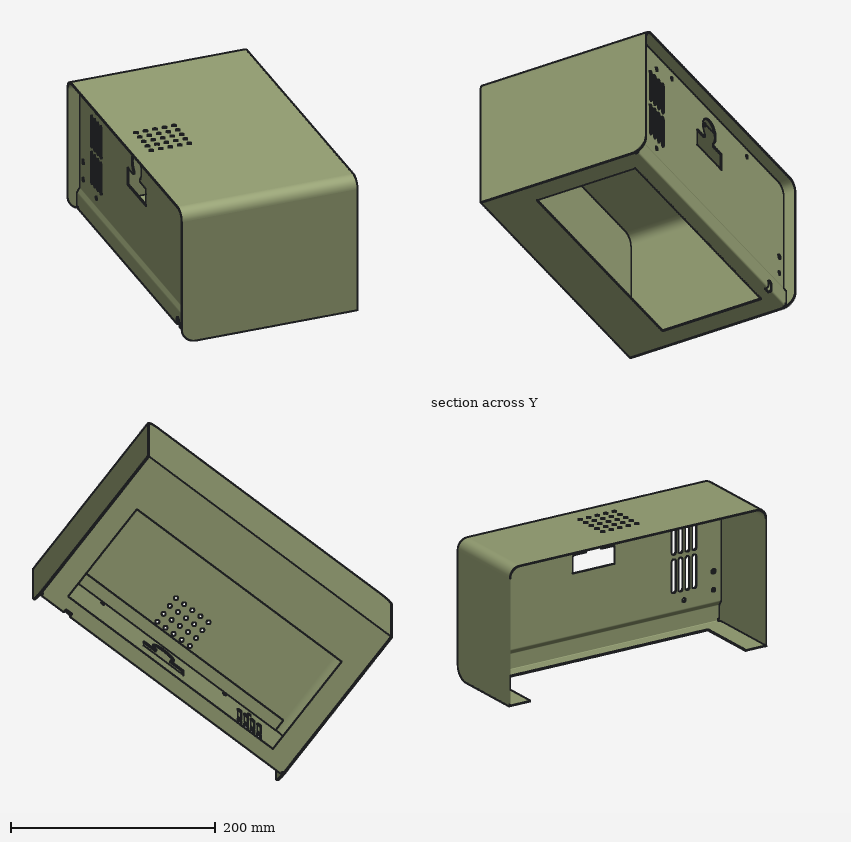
import cadquery as cq
import math

width = 300.5
depth = 185.0
height = 145.5
sheet = 1.5

cover_inner_radius = 10.0
cover_front_radius = 15.0
grille_count = 5
grille_pitch = 10.0
grille_hole = 4.0
grille_centre_y = 40.0

panel_y = 12.5
skirt_y = 9.5
step_top_z = 23.2
step_bottom_z = 18.2
bend_inner_radius = 0.5
step_inner_radius = 1.5
relief_width = 1.5
relief_height = 3.0
chassis_corner_radius = 11.0
top_flange_depth = 14.0
floor_opening_x = 126.0
floor_opening_front_y = 25.0
floor_opening_rear_y = 135.5

top_hole_x = 75.0
top_hole_z = 135.0
side_hole_x = 140.0
upper_side_hole_z = 55.5
lower_side_hole_z = 36.0
small_hole = 4.0
large_hole = 5.0

vent_x = -105.5
vent_z = 80.0
vent_columns = 4
vent_pitch_x = 8.0
vent_pitch_z = 40.0
vent_width = 5.0
vent_length = 35.5
vent_hole_offset_z = 47.5

window_width = 49.0
window_bottom_z = 87.5
window_top_z = 106.5
window_corner_radius = 1.5
neck_width = 17.5
keyhole_radius = 13.0
keyhole_z = 119.0

notch_x = 115.8
notch_width = 7.5
notch_centre_z = 6.5
notch_depth_y = 4.0

inner_width = width - 2 * sheet
half_inner = inner_width / 2
inner_height = height - sheet
panel_cut_depth = depth / 2
cover_outer_radius = cover_inner_radius + sheet
bend_outer_radius = bend_inner_radius + sheet
step_outer_radius = step_inner_radius + sheet
step_angle = math.atan2(panel_y - skirt_y, step_top_z - step_bottom_z)
step_shift_z = sheet * math.tan(step_angle / 2)


def box_between(x0, x1, y0, y1, z0, z1):
    """A box given by its limits along each axis."""
    return cq.Workplane("XY").box(x1 - x0, y1 - y0, z1 - z0, centered=False).translate((x0, y0, z0))


def rounded_top_block(block_width, block_height, radius):
    """A block over the full depth whose two upper long edges are rounded."""
    block = box_between(-block_width / 2, block_width / 2, 0, depth, 0, block_height)
    return block.edges("|Y and >Z").fillet(radius)


def front_plane():
    """A sketch plane on the front end of the case: local x is X and local y is Z."""
    return cq.Workplane("XZ")


def make_cover():
    """Top and two sides bent from one sheet, with a perforated grille in the top."""
    cavity = rounded_top_block(inner_width, inner_height, cover_inner_radius)
    cover = rounded_top_block(width, height, cover_outer_radius).cut(cavity)
    cover = cover.edges("|X and <Y and <Z").fillet(cover_front_radius)
    grille = (
        cq.Workplane("XY", origin=(0, grille_centre_y, inner_height))
        .rarray(grille_pitch, grille_pitch, grille_count, grille_count)
        .circle(grille_hole / 2)
        .extrude(sheet)
    )
    return cover.cut(grille)


def make_stepped_panel():
    """Front panel, outward step, skirt and floor as one bent sheet."""
    outline = [
        (depth, 0),
        (skirt_y, 0),
        (skirt_y, step_bottom_z),
        (panel_y, step_top_z),
        (panel_y, inner_height),
        (panel_y + sheet, inner_height),
        (panel_y + sheet, step_top_z - step_shift_z),
        (skirt_y + sheet, step_bottom_z - step_shift_z),
        (skirt_y + sheet, sheet),
        (depth, sheet),
    ]
    sheet_body = cq.Workplane("YZ").polyline(outline).close().extrude(half_inner, both=True)
    bends = [
        (skirt_y, 0, bend_outer_radius),
        (skirt_y + sheet, sheet, bend_inner_radius),
        (skirt_y, step_bottom_z, step_outer_radius),
        (skirt_y + sheet, step_bottom_z - step_shift_z, step_inner_radius),
        (panel_y, step_top_z, step_inner_radius),
        (panel_y + sheet, step_top_z - step_shift_z, step_outer_radius),
    ]
    for y, z, radius in bends:
        bend_edge = cq.selectors.NearestToPointSelector((0, y, z))
        sheet_body = sheet_body.edges(bend_edge).fillet(radius)
    return sheet_body.intersect(rounded_top_block(inner_width, inner_height, chassis_corner_radius))


def make_panel_cutouts():
    """Screw holes and vent slots through the front panel only."""

    def hole(x, z, diameter):
        return front_plane().center(x, z).circle(diameter / 2).extrude(-panel_cut_depth)

    cutouts = []
    for side in (-1, 1):
        cutouts.append(hole(side * top_hole_x, top_hole_z, small_hole))
        cutouts.append(hole(side * side_hole_x, upper_side_hole_z, large_hole))
        cutouts.append(hole(side * side_hole_x, lower_side_hole_z, small_hole))
        cutouts.append(hole(vent_x, vent_z + side * vent_hole_offset_z, small_hole))
    vents = (
        front_plane()
        .center(vent_x, vent_z)
        .rarray(vent_pitch_x, vent_pitch_z, vent_columns, 2)
        .slot2D(vent_length, vent_width, 90)
        .extrude(-panel_cut_depth)
    )
    cutouts.append(vents)
    return cutouts


def make_keyhole():
    """A round hole joined by a short neck to a rectangular window below it."""
    half_window = window_width / 2
    half_neck = neck_width / 2
    window = box_between(-half_window, half_window, 0, panel_cut_depth, window_bottom_z, window_top_z)
    window = window.edges("|Y and >Z").fillet(window_corner_radius)
    neck = box_between(-half_neck, half_neck, 0, panel_cut_depth, window_bottom_z, keyhole_z)
    head = front_plane().center(0, keyhole_z).circle(keyhole_radius).extrude(-panel_cut_depth)
    return window.union(neck).union(head)


def make_cable_notch():
    """A round-topped notch through the skirt and the front edge of the floor."""
    notch_end_y = skirt_y + notch_depth_y
    slot = box_between(
        notch_x - notch_width / 2, notch_x + notch_width / 2, 0, notch_end_y, 0, notch_centre_z
    )
    arch = front_plane().center(notch_x, notch_centre_z).circle(notch_width / 2).extrude(-notch_end_y)
    return slot.union(arch)


def add_flange_and_rear_wall(chassis):
    half_flange = half_inner - chassis_corner_radius
    flange_end_y = panel_y + top_flange_depth
    flange = box_between(-half_flange, half_flange, panel_y, flange_end_y, inner_height - sheet, inner_height)
    rear_wall = box_between(-half_inner, half_inner, depth - sheet, depth, 0, inner_height)
    rear_wall = rear_wall.edges("|Y and >Z").fillet(chassis_corner_radius)
    return chassis.union(flange).union(rear_wall)


def cut_floor(chassis):
    """The large floor opening, and a bend relief at each end of the front floor bend."""
    opening = box_between(
        -floor_opening_x, floor_opening_x, floor_opening_front_y, floor_opening_rear_y, 0, sheet
    )
    chassis = chassis.cut(opening)
    relief_end_y = skirt_y + relief_height
    for x0 in (-half_inner, half_inner - relief_width):
        relief = box_between(x0, x0 + relief_width, 0, relief_end_y, 0, relief_height)
        chassis = chassis.cut(relief)
    return chassis


def make_chassis():
    """Bent front panel, floor and rear wall in one piece, fitting inside the cover."""
    chassis = add_flange_and_rear_wall(make_stepped_panel())
    for cutout in make_panel_cutouts():
        chassis = chassis.cut(cutout)
    chassis = chassis.cut(make_keyhole())
    chassis = chassis.cut(make_cable_notch())
    return cut_floor(chassis)


cover = make_cover()
chassis = make_chassis()

result = cq.Compound.makeCompound([cover.val(), chassis.val()])